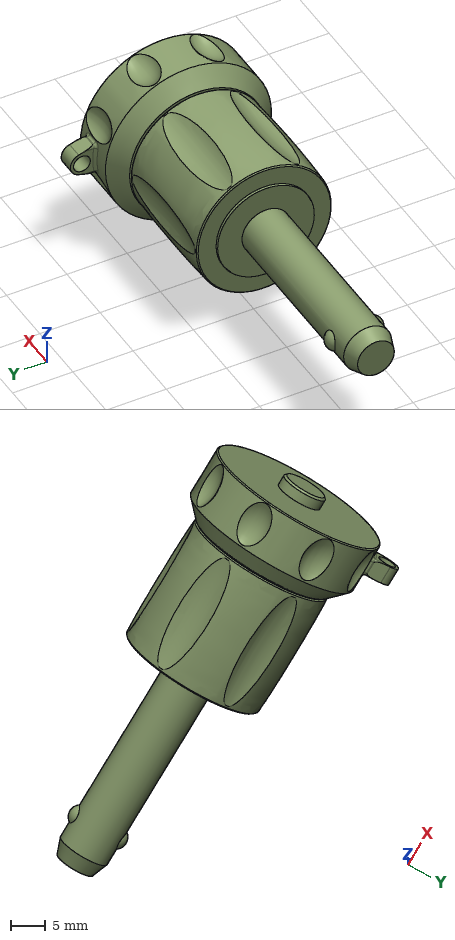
import cadquery as cq
import math

total_length = 66.3

shank_radius = 4.0
tip_radius = 3.05
tip_length = 2.5
ball_radius = 1.8
ball_x = 6.6
ball_reach = 4.8

collar_start = 33.2
collar_radius = 8.0
body_start = 33.7
body_end = 53.7
body_end_radius = 11.2
body_mid_radius = 11.5
edge_chamfer = 0.2
flute_count = 6
flute_length = 19.0
flute_floor_radius = 10.5
flute_round = 6.0

neck_radius = 10.8
knob_start = 53.9
knob_front_radius = 11.3
knob_radius = 13.8
cone_end = 56.6
knob_end = 64.4
scallop_count = 8
scallop_length = 7.1
scallop_floor_radius = 12.65
scallop_round = 3.3

button_radius = 3.5
button_chamfer = 0.3

lug_x = 61.0
lug_thickness = 2.8
lug_tip = 18.0
lug_outer_radius = 1.9
lug_hole_radius = 1.4
lug_base_half_width = 2.6
lug_base_y = 14.05
lug_root_fillet = 0.45

body_middle = (body_start + body_end) / 2
scallop_middle = (cone_end + knob_end) / 2


def make_turned_body():
    """Revolve the half outline of the whole pin about X."""
    return (
        cq.Workplane("XZ")
        .moveTo(0, 0)
        .lineTo(0, tip_radius)
        .lineTo(tip_length, shank_radius)
        .lineTo(collar_start, shank_radius)
        .lineTo(collar_start, collar_radius)
        .lineTo(body_start, collar_radius)
        .lineTo(body_start, body_end_radius - edge_chamfer)
        .lineTo(body_start + edge_chamfer, body_end_radius)
        .threePointArc((body_middle, body_mid_radius), (body_end - edge_chamfer, body_end_radius))
        .lineTo(body_end, body_end_radius - edge_chamfer)
        .lineTo(body_end, neck_radius)
        .lineTo(knob_start, neck_radius)
        .lineTo(knob_start, knob_front_radius)
        .lineTo(cone_end, knob_radius)
        .lineTo(knob_end - edge_chamfer, knob_radius)
        .lineTo(knob_end, knob_radius - edge_chamfer)
        .lineTo(knob_end, button_radius)
        .lineTo(total_length - button_chamfer, button_radius)
        .lineTo(total_length, button_radius - button_chamfer)
        .lineTo(total_length, 0)
        .close()
        .revolve(360, (0, 0, 0), (1, 0, 0))
    )


def make_lug():
    """Eyelet whose sides run tangent from the round end to the wide base."""
    eye_y = lug_tip - lug_outer_radius
    base_distance = math.hypot(eye_y - lug_base_y, lug_base_half_width)
    base_angle = math.atan2(lug_base_half_width, lug_base_y - eye_y)
    tangent_angle = base_angle - math.acos(lug_outer_radius / base_distance)
    tangent_y = eye_y + lug_outer_radius * math.cos(tangent_angle)
    tangent_z = lug_outer_radius * math.sin(tangent_angle)
    root_y = knob_radius - 2 * lug_root_fillet
    return (
        cq.Workplane("YZ", origin=(lug_x - lug_thickness / 2, 0, 0))
        .moveTo(root_y, -lug_base_half_width)
        .lineTo(lug_base_y, -lug_base_half_width)
        .lineTo(tangent_y, -tangent_z)
        .threePointArc((lug_tip, 0), (tangent_y, tangent_z))
        .lineTo(lug_base_y, lug_base_half_width)
        .lineTo(root_y, lug_base_half_width)
        .close()
        .moveTo(eye_y, 0)
        .circle(lug_hole_radius)
        .extrude(lug_thickness)
    )


def add_lug(part):
    """Join the lug and round the edges where it meets the knob."""
    root_box = cq.selectors.BoxSelector(
        (lug_x - lug_thickness, knob_radius - lug_root_fillet, -lug_base_half_width - lug_root_fillet),
        (lug_x + lug_thickness, knob_radius + lug_root_fillet / 4, lug_base_half_width + lug_root_fillet),
    )
    return part.union(make_lug()).edges(root_box).fillet(lug_root_fillet)


def make_hollow_cutter(middle_x, length, floor_radius, end_radius, cross_round):
    """Spindle with a bowed outline: its belly reaches floor_radius and its ends reach end_radius."""
    axis_z = floor_radius + cross_round
    return (
        cq.Workplane("XZ")
        .moveTo(middle_x - length / 2, axis_z)
        .lineTo(middle_x - length / 2, end_radius)
        .threePointArc((middle_x, floor_radius), (middle_x + length / 2, end_radius))
        .lineTo(middle_x + length / 2, axis_z)
        .close()
        .revolve(360, (middle_x, axis_z, 0), (middle_x + 0.65, axis_z, 0))
    )


def cut_around(part, cutter, count, first_angle):
    """Cut equally spaced copies of the cutter around the X axis."""
    for index in range(count):
        angle = first_angle + index * 360 / count
        part = part.cut(cutter.rotate((0, 0, 0), (1, 0, 0), angle))
    return part


flute_cutter = make_hollow_cutter(
    body_middle, flute_length, flute_floor_radius, body_end_radius, flute_round
)
scallop_cutter = make_hollow_cutter(
    scallop_middle, scallop_length, scallop_floor_radius, knob_radius, scallop_round
)

result = add_lug(make_turned_body())
result = cut_around(result, flute_cutter, flute_count, 360 / flute_count / 2)
result = cut_around(result, scallop_cutter, scallop_count, 360 / scallop_count / 2)

for side in (-1, 1):
    ball = cq.Workplane("XY").sphere(ball_radius)
    result = result.union(ball.translate((ball_x, side * (ball_reach - ball_radius), 0)))